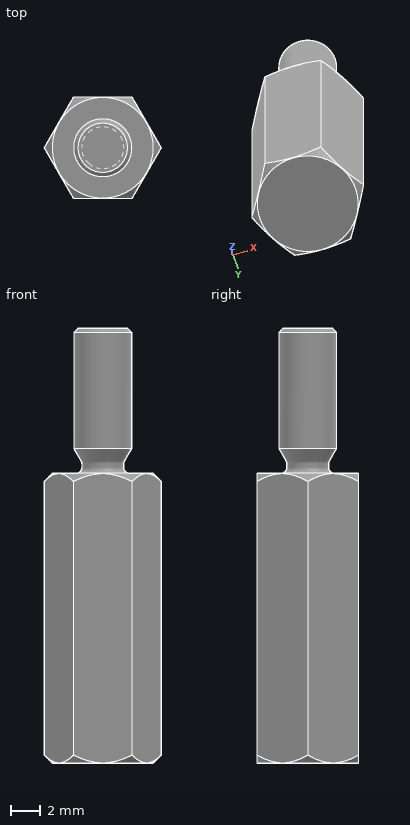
import cadquery as cq
import math

across_flats = 7.0
across_corners = across_flats / math.cos(math.radians(30))
body_height = 20.0
crown_diameter = 6.95
crown_angle = 45.0

stud_diameter = 4.0
stud_length = 10.0
stud_chamfer = 0.3

relief_diameter = 2.9
relief_length = 1.7
relief_fillet = 0.4
relief_cone_angle = 30.0


def make_body():
    """Hexagonal prism with its corners turned down conically at both ends."""
    prism = cq.Workplane("XY").polygon(6, across_corners).extrude(body_height)

    crown_radius = crown_diameter / 2
    corner_radius = across_corners / 2
    crown_depth = (corner_radius - crown_radius) * math.tan(math.radians(crown_angle))
    turned_envelope = (
        cq.Workplane("XZ")
        .moveTo(0, 0)
        .lineTo(crown_radius, 0)
        .lineTo(corner_radius, crown_depth)
        .lineTo(corner_radius, body_height - crown_depth)
        .lineTo(crown_radius, body_height)
        .lineTo(0, body_height)
        .close()
        .revolve(360, (0, 0), (0, 1))
    )
    return prism.intersect(turned_envelope)


def make_stud():
    """Turned stud: filleted relief groove, cone, full diameter and end chamfer."""
    stud_radius = stud_diameter / 2
    relief_radius = relief_diameter / 2
    stud_top = body_height + stud_length
    cone_top = body_height + relief_length
    cone_angle = math.radians(relief_cone_angle)

    foot_center_r = relief_radius + relief_fillet
    foot_center_z = body_height + relief_fillet
    foot_mid_offset = relief_fillet * math.cos(math.radians(45))

    cone_start_r = relief_radius + relief_fillet * (1 - math.cos(cone_angle))
    cone_start_z = cone_top - (stud_radius - cone_start_r) / math.tan(cone_angle)
    neck_top = cone_start_z - relief_fillet * math.sin(cone_angle)
    neck_mid_r = relief_radius + relief_fillet * (1 - math.cos(cone_angle / 2))
    neck_mid_z = neck_top + relief_fillet * math.sin(cone_angle / 2)

    return (
        cq.Workplane("XZ")
        .moveTo(0, body_height)
        .lineTo(foot_center_r, body_height)
        .threePointArc(
            (foot_center_r - foot_mid_offset, foot_center_z - foot_mid_offset),
            (relief_radius, foot_center_z),
        )
        .lineTo(relief_radius, neck_top)
        .threePointArc((neck_mid_r, neck_mid_z), (cone_start_r, cone_start_z))
        .lineTo(stud_radius, cone_top)
        .lineTo(stud_radius, stud_top - stud_chamfer)
        .lineTo(stud_radius - stud_chamfer, stud_top)
        .lineTo(0, stud_top)
        .close()
        .revolve(360, (0, 0), (0, 1))
    )


result = make_body().union(make_stud())